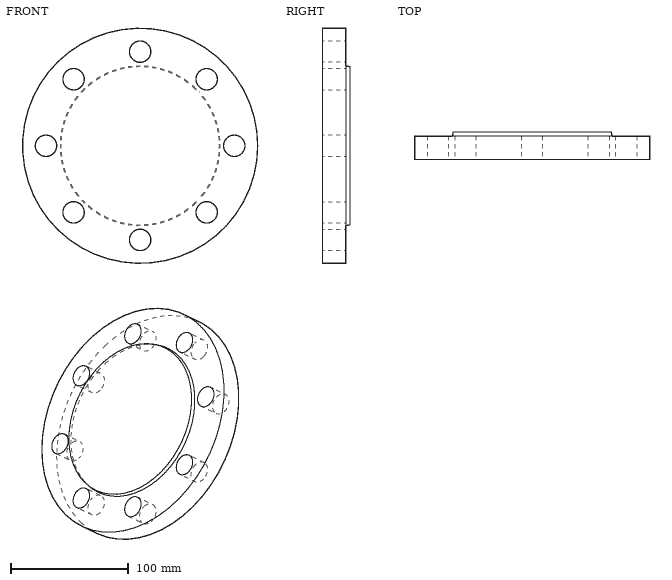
import cadquery as cq

flange_diameter = 200.0
flange_thickness = 20.0
face_base_diameter = 136.0
face_top_diameter = 134.5
total_thickness = 23.5
face_height = total_thickness - flange_thickness

bolt_circle_diameter = 160.0
bolt_hole_diameter = 18.0
bolt_hole_count = 8


def raised_face_cone():
    """Slightly tapered raised face, narrowing away from the flange."""
    base = cq.Workplane("XZ", origin=(0, flange_thickness, 0)).circle(face_base_diameter / 2)
    return base.workplane(offset=-face_height).circle(face_top_diameter / 2).loft(ruled=True)


def bolt_holes():
    """Ring of through-hole cutters, the first one on the X axis."""
    ring = cq.Workplane("XZ").polarArray(bolt_circle_diameter / 2, 0, 360, bolt_hole_count)
    return ring.circle(bolt_hole_diameter / 2).extrude(-flange_thickness)


flange = cq.Workplane("XZ").circle(flange_diameter / 2).extrude(-flange_thickness)

result = flange.union(raised_face_cone()).cut(bolt_holes())